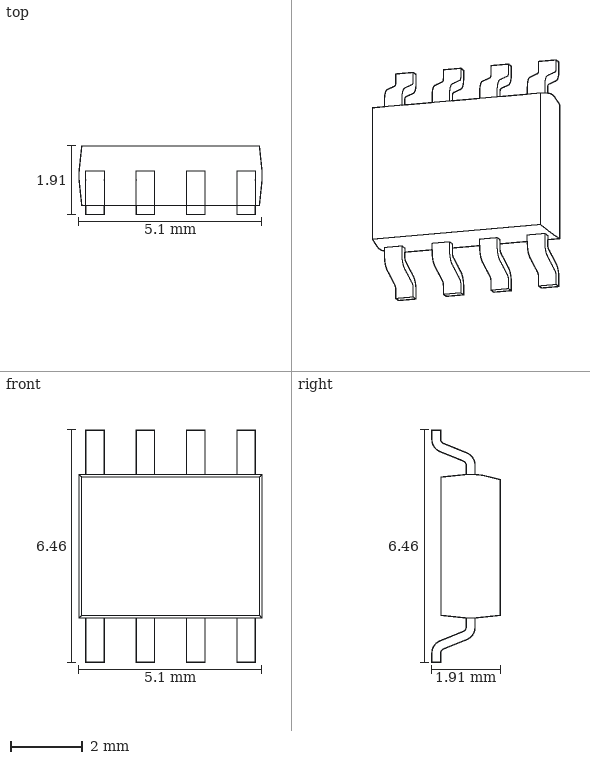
import cadquery as cq
import math


BODY_LENGTH = 5.1
BODY_WIDTH = 4.0
OVERALL_WIDTH = 6.46
SHELL_DEPTH = 0.705
DRAFT_ANGLE = 6.0
BEVEL_DEPTH = 0.5
BACK_BEVEL_DROP = 0.14

LEAD_THICKNESS = 0.25
LEAD_WIDTH = 0.52
LEAD_PITCH = 1.4
LEADS_PER_ROW = 4
LEAD_SLOPE = 22.0
LEAD_EMBED = 0.26
STANDOFF = 0.25

half_width = BODY_WIDTH / 2
half_band = LEAD_THICKNESS / 2
back_face = half_band + SHELL_DEPTH
bend_radius = LEAD_THICKNESS
bend_angle = 90.0 - LEAD_SLOPE
bend_rise = bend_radius * math.sin(math.radians(bend_angle))
bend_shift = bend_radius * (1 - math.cos(math.radians(bend_angle)))
foot_offset = SHELL_DEPTH + STANDOFF
shank_shift = foot_offset - 2 * bend_shift
shank_rise = shank_shift * math.tan(math.radians(LEAD_SLOPE))
lead_reach = (OVERALL_WIDTH - BODY_WIDTH) / 2
straight_length = (lead_reach - 2 * bend_rise - shank_rise) / 2


def body_shell(direction):
    """Drafted half of the body, narrowing towards +Y (direction 1) or -Y (direction -1)."""
    plane = cq.Plane(origin=(0, direction * half_band, 0), xDir=(1, 0, 0), normal=(0, direction, 0))
    return cq.Workplane(plane).rect(BODY_LENGTH, BODY_WIDTH).extrude(SHELL_DEPTH, taper=DRAFT_ANGLE)


def bevel_cutter():
    """Wedge that bevels the upper back edge, starting on the drafted upper side."""
    bevel_start = back_face - BEVEL_DEPTH
    start_drop = (SHELL_DEPTH - BEVEL_DEPTH) * math.tan(math.radians(DRAFT_ANGLE))
    outline = [
        (bevel_start, half_width - start_drop),
        (back_face, half_width - BACK_BEVEL_DROP),
        (back_face, half_width),
        (bevel_start, half_width),
    ]
    return cq.Workplane("YZ").polyline(outline).close().extrude(BODY_LENGTH / 2, both=True)


def body():
    band = cq.Workplane("XY").box(BODY_LENGTH, LEAD_THICKNESS, BODY_WIDTH)
    return band.union(body_shell(1)).union(body_shell(-1)).cut(bevel_cutter())


def lead_edge(side):
    """Root bend, shank and foot points (Y, Z) along one edge of the upper lead.

    Side 1 is the edge half a thickness towards +Y at the root, side -1 the opposite edge.
    """
    root_radius = bend_radius + side * half_band
    foot_radius = bend_radius - side * half_band
    root_end = half_width + straight_length
    foot_start = OVERALL_WIDTH / 2 - straight_length

    def root_point(angle):
        turn = math.radians(angle)
        return (-bend_radius + root_radius * math.cos(turn), root_end + root_radius * math.sin(turn))

    def foot_point(angle):
        turn = math.radians(angle)
        centre = bend_radius - foot_offset
        return (centre - foot_radius * math.cos(turn), foot_start - foot_radius * math.sin(turn))

    angles = (0, bend_angle / 2, bend_angle)
    return [root_point(a) for a in angles], [foot_point(a) for a in reversed(angles)]


def lead():
    """One gull-wing lead of the upper row, centred on X = 0."""
    outer_root, outer_foot = lead_edge(1)
    inner_root, inner_foot = lead_edge(-1)
    lead_start = half_width - LEAD_EMBED
    lead_tip = OVERALL_WIDTH / 2
    profile = (
        cq.Workplane("YZ")
        .moveTo(half_band, lead_start)
        .lineTo(*outer_root[0])
        .threePointArc(outer_root[1], outer_root[2])
        .lineTo(*outer_foot[0])
        .threePointArc(outer_foot[1], outer_foot[2])
        .lineTo(half_band - foot_offset, lead_tip)
        .lineTo(-half_band - foot_offset, lead_tip)
        .lineTo(*inner_foot[2])
        .threePointArc(inner_foot[1], inner_foot[0])
        .lineTo(*inner_root[2])
        .threePointArc(inner_root[1], inner_root[0])
        .lineTo(-half_band, lead_start)
        .close()
    )
    return profile.extrude(LEAD_WIDTH / 2, both=True)


result = body()
upper_lead = lead()
lower_lead = upper_lead.mirror("XY")
for index in range(LEADS_PER_ROW):
    lead_x = (index - (LEADS_PER_ROW - 1) / 2) * LEAD_PITCH
    for row_lead in (upper_lead, lower_lead):
        result = result.union(row_lead.translate((lead_x, 0, 0)))